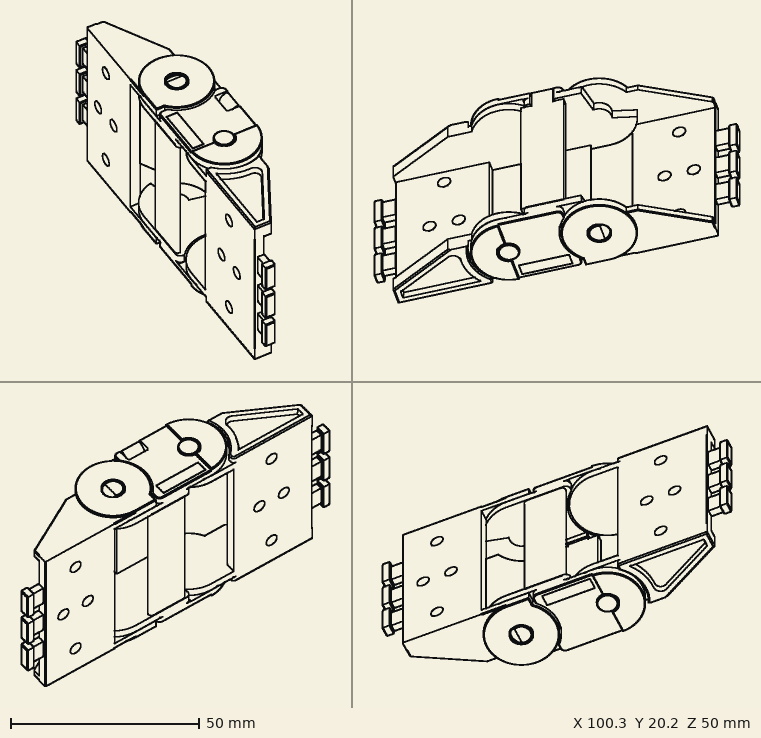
import cadquery as cq
import math

OVERALL_LENGTH = 100.31
DISC_RADIUS = 10.1
HEIGHT = 2 * DISC_RADIUS
PIVOT_Y = DISC_RADIUS
LEFT_PIVOT_X = -14.2
PIVOT_SPACING = 25.0
RIGHT_PIVOT_X = LEFT_PIVOT_X + PIVOT_SPACING

LEAF_INNER_Z = 20.0
LEAF_OUTER_Z = 22.4
FLANGE_INNER_Z = 22.5
FLANGE_OUTER_Z = 24.5
DISC_OUTER_Z = 25.0
RIGHT_FLANGE_OUTER_Z = 24.4
EDGE_BREAK = 0.25

END_X = 44.25
PLATE_THICKNESS = 3.0
END_HEIGHT = 5.1
SHOULDER_HEIGHT = 14.9
SLOPE_RUN = 18.0
LEFT_PLATE_EDGE_X = -21.3
LEFT_TAIL_END_X = -7.55
RIGHT_PLATE_EDGE_X = 18.25
RIGHT_CONCAVE_RADIUS = 10.9
RIGHT_TIP_X = 17.95
RIGHT_TIP_ROUND = 0.9
FLANGE_CHAMFER = 0.4

POCKET_DEPTH = 1.7
POCKET_DRAFT = 10.0
POCKET_MARGIN = 1.8
POCKET_BACK_RADIUS = 13.2
POCKET_FLOOR_Y = 1.75
POCKET_CORNER_ROUND = 2.0

HOLE_DIAMETER = 3.5
HOLE_PATTERN_HALF_HEIGHT = 16.0
HOLE_PATTERN_HALF_WIDTH = 4.05
LEFT_PATTERN_X = -34.2
RIGHT_PATTERN_X = 30.75

TAB_PITCH = 10.45
TAB_STEM_WIDTH = 5.9
TAB_STEM_BOTTOM_Y = 0.9
TAB_TOP_Y = 2.95
TAB_HEAD_WIDTH = 8.0
TAB_HEAD_LENGTH = 2.3
TAB_HEAD_CHAMFER = 0.25

PIN_RADIUS = 2.85
PIN_CHAMFER = 0.25
PIN_HOLE_RADIUS = 2.9
PIN_RELIEF_RADIUS = 3.2
PIN_RAMP_START = 0.9
PIN_RAMP_DROP = 0.9

MIDDLE_CONCAVE_RADIUS = 10.65
MIDDLE_TIP_X = -6.75
MIDDLE_TIP_ROUND = 1.4
LEAF_END_X = 4.0
HUB_RADIUS = 3.4
STOP_START_ANGLE = 78.0
STOP_END_ANGLE = 193.0
STOP_DRAFT = 6.0
BAR_LEFT_X = -9.3
BAR_RIGHT_X = 2.7
BAR_FRONT_Y = 0.15
BAR_BACK_Y = 1.4
BAR_ROUND = 1.1
LABEL_LEFT_X = -4.2
LABEL_RIGHT_X = 9.7
LABEL_BOTTOM_Y = 1.15
LABEL_TOP_Y = 4.45
LABEL_DEPTH = 0.1
NOTCH_LEFT_X = -4.55
NOTCH_RIGHT_X = 2.05
NOTCH_FLOOR_Y = 16.1
NOTCH_ROUND = 0.5

LATCH_LEFT_X = -7.2
LATCH_RIGHT_X = 4.6
LATCH_FRONT_Y = 17.85
NOSE_FRONT_Y = 17.3
LATCH_BACK_Y = 19.9
LATCH_SHOULDER_Z = 19.5
LATCH_TOP_Z = FLANGE_OUTER_Z
FINGER_CLEARANCE = 0.4
NOSE_ROUND = 2.55


def box(x_range, y_range, z_range):
    """Axis-aligned block between the given limits."""
    (x0, x1), (y0, y1), (z0, z1) = x_range, y_range, z_range
    return cq.Workplane("XY").box(x1 - x0, y1 - y0, z1 - z0, centered=False).translate((x0, y0, z0))


def disc(pivot_x, radius, z0, z1):
    """Round slab about a hinge axis."""
    return cq.Workplane("XY", origin=(pivot_x, PIVOT_Y, z0)).circle(radius).extrude(z1 - z0)


def prism(points, z0, z1):
    """Slab with a straight-sided outline."""
    return cq.Workplane("XY", origin=(0, 0, z0)).polyline(points).close().extrude(z1 - z0)


def both_sides(half):
    """The +Z side feature together with its mirror image."""
    return half.union(half.mirror("XY"))


def pin_hole(pivot_x):
    """Cutter for a pin hole with a wider relief through the raised disc face."""
    hole = disc(pivot_x, PIN_HOLE_RADIUS, LEAF_OUTER_Z, DISC_OUTER_Z)
    return hole.union(disc(pivot_x, PIN_RELIEF_RADIUS, FLANGE_OUTER_Z, DISC_OUTER_Z))


def hinge_pin(pivot_x):
    """Pin standing on a leaf, with a chamfered rim."""
    pin = disc(pivot_x, PIN_RADIUS, LEAF_INNER_Z, DISC_OUTER_Z)
    return pin.faces(">Z").edges().chamfer(PIN_CHAMFER)


def mounting_holes(pattern_x):
    """Cutter for the four-hole diamond through a mounting plate."""
    points = [
        (-HOLE_PATTERN_HALF_WIDTH, 0),
        (HOLE_PATTERN_HALF_WIDTH, 0),
        (0, -HOLE_PATTERN_HALF_HEIGHT),
        (0, HOLE_PATTERN_HALF_HEIGHT),
    ]
    return (
        cq.Workplane("XZ", origin=(pattern_x, 0, 0))
        .pushPoints(points)
        .circle(HOLE_DIAMETER / 2)
        .extrude(-PLATE_THICKNESS)
    )


def right_end_tabs():
    """Three T-shaped tabs standing out of the +X end."""
    tip_x = OVERALL_LENGTH / 2
    head_x = tip_x - TAB_HEAD_LENGTH
    tabs = cq.Workplane("XY")
    for row in (-1, 0, 1):
        z = row * TAB_PITCH
        stem_z = (z - TAB_STEM_WIDTH / 2, z + TAB_STEM_WIDTH / 2)
        head_z = (z - TAB_HEAD_WIDTH / 2, z + TAB_HEAD_WIDTH / 2)
        stem = box((END_X, head_x), (TAB_STEM_BOTTOM_Y, TAB_TOP_Y), stem_z)
        head = box((head_x, tip_x), (0, TAB_TOP_Y), head_z)
        head = head.faces("<X or >X").edges().chamfer(TAB_HEAD_CHAMFER)
        tabs = tabs.union(stem).union(head)
    return tabs


def make_left_link():
    side = prism(
        [
            (-END_X, 0),
            (LEFT_TAIL_END_X, 0),
            (LEFT_TAIL_END_X, PLATE_THICKNESS),
            (LEFT_PIVOT_X, PIVOT_Y),
            (LEFT_PIVOT_X, SHOULDER_HEIGHT),
            (SLOPE_RUN - END_X, SHOULDER_HEIGHT),
            (-END_X, END_HEIGHT),
        ],
        FLANGE_INNER_Z,
        FLANGE_OUTER_Z,
    )
    tail = prism(
        [
            (LEFT_PIVOT_X, 0),
            (LEFT_TAIL_END_X, 0),
            (LEFT_TAIL_END_X, PLATE_THICKNESS),
            (LEFT_PIVOT_X, PIVOT_Y),
        ],
        FLANGE_INNER_Z,
        DISC_OUTER_Z,
    )
    raised = tail.union(disc(LEFT_PIVOT_X, DISC_RADIUS, FLANGE_INNER_Z, DISC_OUTER_Z))
    raised = raised.faces(">Z").edges().chamfer(EDGE_BREAK)
    side = side.edges("(>Z) or (|Z and <X)").chamfer(EDGE_BREAK)
    side = side.union(raised).cut(pin_hole(LEFT_PIVOT_X))
    plate = box((-END_X, LEFT_PLATE_EDGE_X), (0, PLATE_THICKNESS), (-FLANGE_OUTER_Z, FLANGE_OUTER_Z))
    plate = plate.faces("<X").edges("|Z").chamfer(EDGE_BREAK)
    link = plate.union(both_sides(side))
    link = link.union(right_end_tabs().mirror("YZ"))
    return link.cut(mounting_holes(LEFT_PATTERN_X))


def right_flange():
    """Outer layer of the right link: wedge with a concave end that clears the middle link's disc."""
    wedge = prism(
        [
            (RIGHT_TIP_X, 0),
            (END_X, 0),
            (END_X, END_HEIGHT),
            (END_X - SLOPE_RUN, SHOULDER_HEIGHT),
            (RIGHT_TIP_X, SHOULDER_HEIGHT),
        ],
        LEAF_INNER_Z,
        RIGHT_FLANGE_OUTER_Z,
    )
    wedge = wedge.cut(disc(RIGHT_PIVOT_X, RIGHT_CONCAVE_RADIUS, LEAF_INNER_Z, RIGHT_FLANGE_OUTER_Z))
    wedge = wedge.edges("|Z and <X").edges("<Y").fillet(RIGHT_TIP_ROUND)
    flat_top = cq.selectors.BoxSelector(
        (RIGHT_TIP_X, SHOULDER_HEIGHT - EDGE_BREAK, LEAF_INNER_Z),
        (END_X - SLOPE_RUN, SHOULDER_HEIGHT + EDGE_BREAK, DISC_OUTER_Z),
    )
    return wedge.faces(">Z").edges(-flat_top).chamfer(FLANGE_CHAMFER)


def right_pocket():
    """Cutter for the shallow pocket that follows the outline of the right flange."""
    slope = math.atan2(SHOULDER_HEIGHT - END_HEIGHT, SLOPE_RUN)
    slope_drop = POCKET_MARGIN / math.cos(slope)
    far_x = END_X - POCKET_MARGIN
    roof_end_y = END_HEIGHT + POCKET_MARGIN * math.tan(slope) - slope_drop
    roof_start_y = roof_end_y + (far_x - RIGHT_PIVOT_X) * math.tan(slope)
    outline = prism(
        [
            (RIGHT_PIVOT_X, POCKET_FLOOR_Y),
            (far_x, POCKET_FLOOR_Y),
            (far_x, roof_end_y),
            (RIGHT_PIVOT_X, roof_start_y),
        ],
        RIGHT_FLANGE_OUTER_Z - POCKET_DEPTH,
        RIGHT_FLANGE_OUTER_Z,
    )
    outline = outline.cut(disc(RIGHT_PIVOT_X, POCKET_BACK_RADIUS, LEAF_INNER_Z, DISC_OUTER_Z))
    outline = outline.edges("|Z").edges(">Y").fillet(POCKET_CORNER_ROUND)
    mouth = outline.faces(">Z").wires().toPending()
    return mouth.workplane().extrude(-POCKET_DEPTH, combine=False, taper=POCKET_DRAFT)


def make_right_link():
    web = box((RIGHT_PIVOT_X, END_X - FLANGE_CHAMFER), (0, END_HEIGHT), (LEAF_INNER_Z, LEAF_OUTER_Z))
    shoulder = box(
        (RIGHT_PIVOT_X, END_X - SLOPE_RUN), (0, SHOULDER_HEIGHT), (LEAF_INNER_Z, LEAF_OUTER_Z)
    )
    side = right_flange().cut(right_pocket()).union(web).union(shoulder)
    side = side.union(disc(RIGHT_PIVOT_X, DISC_RADIUS, LEAF_INNER_Z, LEAF_OUTER_Z))
    side = side.union(hinge_pin(RIGHT_PIVOT_X))
    plate = box((RIGHT_PLATE_EDGE_X, END_X), (0, PLATE_THICKNESS), (-LEAF_OUTER_Z, LEAF_OUTER_Z))
    plate = plate.faces(">X").edges("|Z").chamfer(EDGE_BREAK)
    link = plate.union(both_sides(side)).union(right_end_tabs())
    return link.cut(mounting_holes(RIGHT_PATTERN_X))


def stop_sector():
    """Cutter that opens the leaf around its hub so the left link can swing."""
    reach = 2 * HEIGHT
    angles = (STOP_START_ANGLE, (STOP_START_ANGLE + STOP_END_ANGLE) / 2, STOP_END_ANGLE)
    rim = [
        (
            LEFT_PIVOT_X + reach * math.cos(math.radians(angle)),
            PIVOT_Y + reach * math.sin(math.radians(angle)),
        )
        for angle in angles
    ]
    sector = (
        cq.Workplane("XY", origin=(0, 0, LEAF_INNER_Z))
        .polyline([(LEFT_PIVOT_X, PIVOT_Y)] + rim)
        .close()
        .extrude(LEAF_OUTER_Z - LEAF_INNER_Z, taper=STOP_DRAFT)
    )
    return sector.cut(disc(LEFT_PIVOT_X, HUB_RADIUS, LEAF_INNER_Z, LEAF_OUTER_Z))


def left_pin():
    """Pin on the middle leaf with a sloping lead-in on its -X side."""
    pin = hinge_pin(LEFT_PIVOT_X)
    ramp = (
        cq.Workplane("XZ", origin=(LEFT_PIVOT_X, HEIGHT, 0))
        .moveTo(-PIN_RAMP_START, DISC_OUTER_Z)
        .lineTo(-PIN_RADIUS, DISC_OUTER_Z - PIN_RAMP_DROP)
        .lineTo(-PIN_RADIUS, DISC_OUTER_Z)
        .close()
        .extrude(HEIGHT)
    )
    return pin.cut(ramp)


def middle_leaf():
    """Inner layer: disc on the left pivot, concave end around the right link's leaf."""
    leaf = box((LEFT_PIVOT_X, LEAF_END_X), (0, HEIGHT), (LEAF_INNER_Z, LEAF_OUTER_Z))
    leaf = leaf.cut(disc(RIGHT_PIVOT_X, MIDDLE_CONCAVE_RADIUS, LEAF_INNER_Z, LEAF_OUTER_Z))
    leaf = leaf.edges("|Z and >X").edges("<Y or >Y").fillet(MIDDLE_TIP_ROUND)
    leaf = leaf.union(disc(LEFT_PIVOT_X, DISC_RADIUS, LEAF_INNER_Z, LEAF_OUTER_Z))
    return leaf.cut(stop_sector()).union(left_pin())


def middle_flange():
    """Outer layer: concave end around the left disc, raised half disc on the right pivot."""
    flange = box((MIDDLE_TIP_X, RIGHT_PIVOT_X), (0, HEIGHT), (LEAF_OUTER_Z, FLANGE_OUTER_Z))
    flange = flange.cut(disc(LEFT_PIVOT_X, MIDDLE_CONCAVE_RADIUS, LEAF_OUTER_Z, FLANGE_OUTER_Z))
    flange = flange.edges("|Z and <X").edges("<Y or >Y").fillet(MIDDLE_TIP_ROUND)
    right_of_pivot = box(
        (RIGHT_PIVOT_X, RIGHT_PIVOT_X + DISC_RADIUS), (0, HEIGHT), (FLANGE_INNER_Z, DISC_OUTER_Z)
    )
    half_disc = disc(RIGHT_PIVOT_X, DISC_RADIUS, FLANGE_INNER_Z, DISC_OUTER_Z).intersect(right_of_pivot)
    half_disc = half_disc.faces(">Z").edges().chamfer(EDGE_BREAK)
    flange = flange.faces(">Z").edges("|X").chamfer(EDGE_BREAK)
    clearance = box(
        (LEAF_END_X, RIGHT_PIVOT_X), (0, HEIGHT), (LEAF_OUTER_Z, FLANGE_INNER_Z)
    )
    flange = flange.cut(clearance).union(half_disc).cut(pin_hole(RIGHT_PIVOT_X))
    label = box(
        (LABEL_LEFT_X, LABEL_RIGHT_X),
        (LABEL_BOTTOM_Y, LABEL_TOP_Y),
        (FLANGE_OUTER_Z - LABEL_DEPTH, FLANGE_OUTER_Z),
    )
    return flange.cut(label)


def latch_notch():
    """Cutter for the notch on the +Z side that receives the latch finger."""
    notch = box((NOTCH_LEFT_X, NOTCH_RIGHT_X), (NOTCH_FLOOR_Y, HEIGHT), (LEAF_INNER_Z, FLANGE_OUTER_Z))
    return notch.edges("|Z and <Y").fillet(NOTCH_ROUND)


def make_middle_link():
    bar = box((BAR_LEFT_X, BAR_RIGHT_X), (BAR_FRONT_Y, BAR_BACK_Y), (-LEAF_INNER_Z, LEAF_INNER_Z))
    bar = bar.edges("|Z and <Y").fillet(BAR_ROUND)
    link = both_sides(middle_leaf().union(middle_flange())).union(bar)
    return link.cut(latch_notch())


def make_latch():
    bar = box(
        (LATCH_LEFT_X, LATCH_RIGHT_X), (LATCH_FRONT_Y, LATCH_BACK_Y), (-LEAF_INNER_Z, LATCH_SHOULDER_Z)
    )
    finger_x = (NOTCH_LEFT_X + FINGER_CLEARANCE, NOTCH_RIGHT_X - FINGER_CLEARANCE)
    neck = box(finger_x, (LATCH_FRONT_Y, LATCH_BACK_Y), (LATCH_SHOULDER_Z, LEAF_INNER_Z))
    nose = box(finger_x, (NOSE_FRONT_Y, LATCH_BACK_Y), (LEAF_INNER_Z, LATCH_TOP_Z))
    nose = nose.edges(">Z and <Y").fillet(NOSE_ROUND)
    return bar.union(neck).union(nose)


left_link = make_left_link()
middle_link = make_middle_link()
right_link = make_right_link()
latch = make_latch()

result = cq.Compound.makeCompound([left_link.val(), middle_link.val(), right_link.val(), latch.val()])